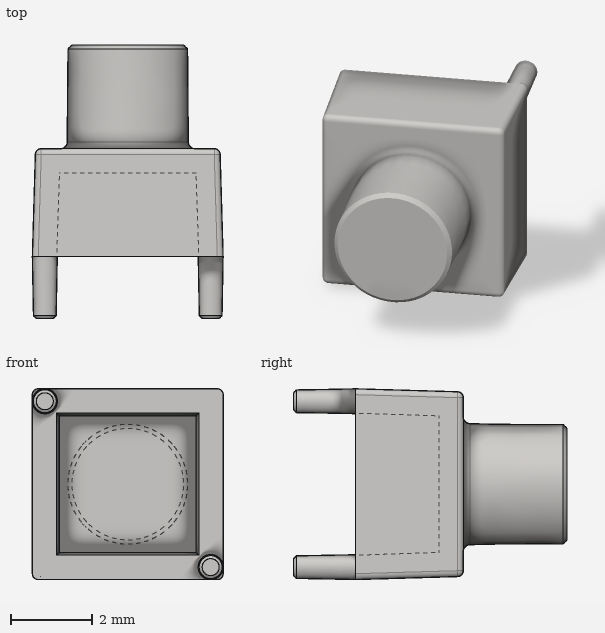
import cadquery as cq
import math

total_length = 6.73
housing_width = 4.7
housing_back_width = 4.54
housing_length = 2.66
housing_edge_radius = 0.15

cavity_width = 3.49
cavity_floor_width = 3.36
cavity_depth = 2.06

pin_length = 1.52
pin_root_diameter = 0.62
pin_tip_diameter = 0.565
pin_chamfer = 0.075
pin_offset = (housing_width - pin_root_diameter) / 2

boss_length = total_length - pin_length - housing_length
boss_root_diameter = 2.99
boss_end_diameter = 2.95
boss_chamfer = 0.1
boss_fillet = 0.16

back_plane = cq.Plane(origin=(0, 0, 0), xDir=(1, 0, 0), normal=(0, 1, 0))


def draft_angle(near_width, far_width, length):
    """Draft in degrees that narrows near_width to far_width over length."""
    return math.degrees(math.atan((near_width - far_width) / 2 / length))


def drafted_square(near_width, far_width, length):
    """Square block that narrows from the front face toward +Y."""
    taper = draft_angle(near_width, far_width, length)
    return cq.Workplane(back_plane).rect(near_width, near_width).extrude(length, taper=taper)


def tapered_round(root_diameter, end_diameter, end_y, chamfer):
    """Stub on the Y axis from Y = 0 to end_y, tapered, with a chamfered end."""
    root_radius = root_diameter / 2
    end_radius = end_diameter / 2
    chamfer_start_y = end_y - math.copysign(chamfer, end_y)
    profile = [
        (0, 0),
        (root_radius, 0),
        (end_radius, chamfer_start_y),
        (end_radius - chamfer, end_y),
        (0, end_y),
    ]
    return cq.Workplane("XY").polyline(profile).close().revolve(360, (0, 0), (0, 1))


def make_housing():
    block = drafted_square(housing_width, housing_back_width, housing_length)
    return block.edges("not <Y").fillet(housing_edge_radius)


def make_boss():
    boss = tapered_round(boss_root_diameter, boss_end_diameter, boss_length, boss_chamfer)
    return boss.translate((0, housing_length, 0))


def make_pin(x, z):
    pin = tapered_round(pin_root_diameter, pin_tip_diameter, -pin_length, pin_chamfer)
    return pin.translate((x, 0, z))


body = make_housing().union(make_boss())

housing_back = body.faces(cq.selectors.NearestToPointSelector((0, housing_length, 0)))
body = housing_back.edges("%CIRCLE").fillet(boss_fillet)

body = body.cut(drafted_square(cavity_width, cavity_floor_width, cavity_depth))

for side in (-1, 1):
    body = body.union(make_pin(side * pin_offset, -side * pin_offset))

result = body